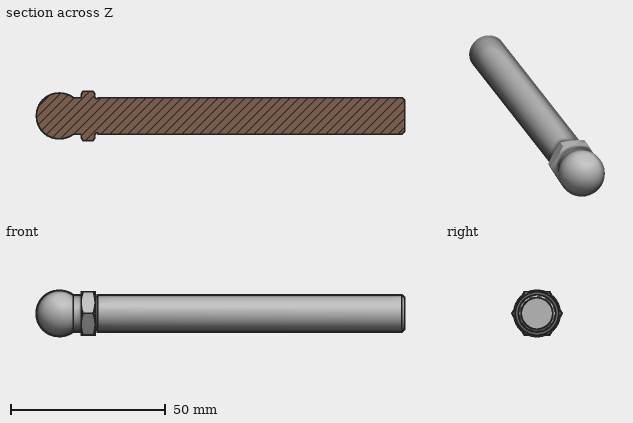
import cadquery as cq
import math

total_length = 119.0
ball_diameter = 15.0
shaft_diameter = 12.0
end_chamfer = 1.0

hex_start = 14.5
hex_length = 4.5
hex_across_flats = 14.0
hex_chamfer_angle = 30.0

neck_diameter = 11.2
neck_length = 0.6
neck_start = 19.3

ball_radius = ball_diameter / 2
hex_end = hex_start + hex_length
hex_across_corners = hex_across_flats / math.cos(math.radians(30))


def rod(start, length, diameter):
    """Round bar along X."""
    return cq.Workplane("YZ", origin=(start, 0, 0)).circle(diameter / 2).extrude(length)


def ball():
    """Ball touching the YZ plane, turned about the X axis."""
    return (
        cq.Workplane("XY")
        .moveTo(0, 0)
        .threePointArc((ball_radius, ball_radius), (ball_diameter, 0))
        .close()
        .revolve(360, (0, 0, 0), (1, 0, 0))
    )


def hex_collar():
    """Hexagon with corners on the Y axis, trimmed by a cone at both ends."""
    hexagon = (
        cq.Workplane("YZ", origin=(hex_start, 0, 0))
        .polygon(6, hex_across_corners)
        .extrude(hex_length)
    )
    corner_radius = hex_across_corners / 2
    end_face_radius = hex_across_flats / 2
    axial_chamfer = (corner_radius - end_face_radius) * math.tan(math.radians(hex_chamfer_angle))
    envelope = (
        cq.Workplane("XY")
        .moveTo(hex_start, 0)
        .lineTo(hex_start, end_face_radius)
        .lineTo(hex_start + axial_chamfer, corner_radius)
        .lineTo(hex_end - axial_chamfer, corner_radius)
        .lineTo(hex_end, end_face_radius)
        .lineTo(hex_end, 0)
        .close()
        .revolve(360, (0, 0, 0), (1, 0, 0))
    )
    return hexagon.intersect(envelope)


def shaft():
    """Shank through the hexagon, relief neck just behind it, and long chamfered shaft."""
    shaft_start = neck_start + neck_length
    shank = rod(ball_radius, neck_start - ball_radius, shaft_diameter)
    neck = rod(neck_start, neck_length, neck_diameter)
    long_shaft = (
        rod(shaft_start, total_length - shaft_start, shaft_diameter)
        .faces(">X")
        .chamfer(end_chamfer)
    )
    return shank.union(neck).union(long_shaft)


result = shaft().union(ball()).union(hex_collar())